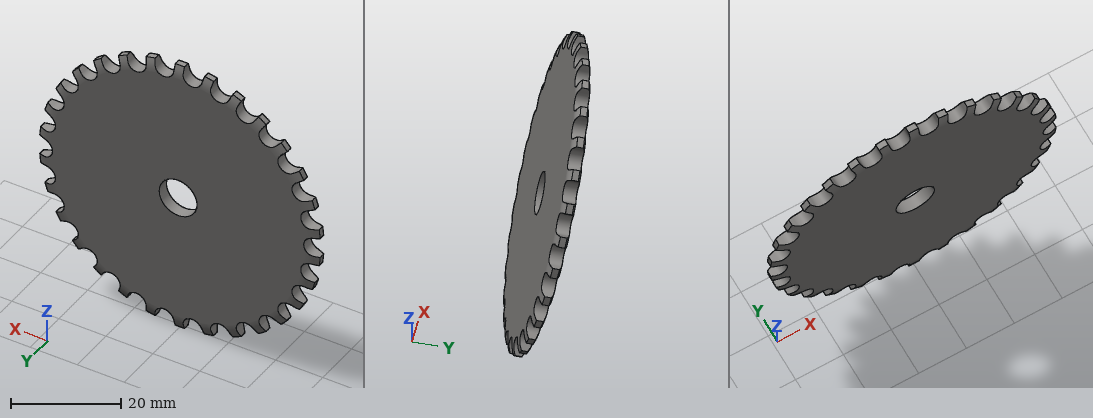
import cadquery as cq
import math

tooth_count = 30
tip_radius = 29.9
face_radius = 27.15
root_radius = 26.75
tooth_width = 2.0
thickness = 2.6
tip_thickness = 1.25
bore_diameter = 8.0

half_pitch_angle = math.pi / tooth_count
pitch_degrees = 360.0 / tooth_count

gap_radius = (root_radius * math.sin(half_pitch_angle) - tooth_width / 2) / (1 - math.sin(half_pitch_angle))
gap_center_radius = root_radius + gap_radius

side_drop = (thickness - tip_thickness) / 2
side_length = tip_radius - face_radius
side_radius = (side_length**2 + side_drop**2) / (2 * side_drop)


def make_blank():
    """Revolve the disc with its rounded rim about the Y axis."""
    half_face = thickness / 2
    half_tip = tip_thickness / 2
    middle_angle = math.asin(side_length / side_radius) / 2
    middle_radius = face_radius + side_radius * math.sin(middle_angle)
    middle_offset = half_face - side_radius * (1 - math.cos(middle_angle))
    return (
        cq.Workplane("XY")
        .moveTo(0, -half_face)
        .lineTo(face_radius, -half_face)
        .threePointArc((middle_radius, -middle_offset), (tip_radius, -half_tip))
        .lineTo(tip_radius, half_tip)
        .threePointArc((middle_radius, middle_offset), (face_radius, half_face))
        .lineTo(0, half_face)
        .close()
        .revolve(360, (0, 0, 0), (0, 1, 0))
    )


def make_gap_cutter():
    """Make a cutter along +Z with a round bottom and walls parallel to the adjacent teeth."""
    tangent_x = gap_radius * math.cos(half_pitch_angle)
    tangent_z = gap_center_radius - gap_radius * math.sin(half_pitch_angle)
    outer_z = tip_radius + gap_radius
    outer_x = tangent_x + (outer_z - tangent_z) * math.tan(half_pitch_angle)
    return (
        cq.Workplane("XZ", origin=(0, thickness / 2, 0))
        .moveTo(-outer_x, outer_z)
        .lineTo(-tangent_x, tangent_z)
        .threePointArc((0, root_radius), (tangent_x, tangent_z))
        .lineTo(outer_x, outer_z)
        .close()
        .extrude(thickness)
    )


bore = (
    cq.Workplane("XZ", origin=(0, thickness / 2, 0))
    .circle(bore_diameter / 2)
    .extrude(thickness)
)
result = make_blank().cut(bore)

gap_cutter = make_gap_cutter()
for gap in range(tooth_count):
    gap_angle = (gap + 0.5) * pitch_degrees
    result = result.cut(gap_cutter.rotate((0, 0, 0), (0, 1, 0), gap_angle))